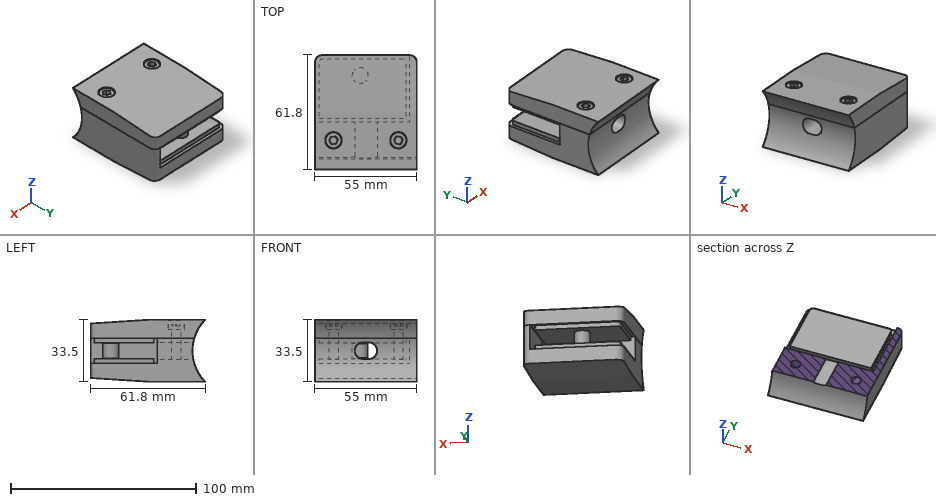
import cadquery as cq
import math

width = 55.0
length = 55.0
height = 33.5
post_radius = 24.15
corner_radius = 4.0
taper_length = 31.0
taper_drop = 2.0

slot_height = 13.5
slot_depth = 36.0
wall_thickness = 4.0

pad_thickness = 2.5
pad_margin = 2.0
pad_corner_radius = 2.0

passage_width = 12.0
passage_height = 9.0

pin_diameter = 8.6
pin_height = 8.0
pin_x = -3.2
pin_from_back = 10.9

screw_spacing = 35.0
screw_y = 9.0
head_diameter = 8.5
head_height = 5.0
head_fillet = 0.5
head_recess = 0.25
shank_diameter = 5.0
shank_length = 16.0
socket_across_flats = 4.0
socket_depth = 3.0
socket_turns = [4.0, -7.0]
counterbore_diameter = 9.0

half_width = width / 2
half_height = height / 2
split_z = slot_height / 2
slot_front_y = length - slot_depth
taper_start_y = length - taper_length
post_axis_y = -post_radius
saddle_tip_y = post_axis_y + math.sqrt(post_radius**2 - half_height**2)
head_top_z = half_height - head_recess
head_seat_z = head_top_z - head_height
shank_end_z = head_seat_z - shank_length
socket_across_corners = socket_across_flats / math.cos(math.pi / 6)
screw_points = [(-screw_spacing / 2, screw_y), (screw_spacing / 2, screw_y)]


def box_between(x_min, x_max, y_min, y_max, z_min, z_max):
    box = cq.Workplane("XY").box(x_max - x_min, y_max - y_min, z_max - z_min, centered=False)
    return box.translate((x_min, y_min, z_min))


def upright_cylinder(diameter, z_min, z_max, points):
    plane = cq.Workplane("XY").workplane(offset=z_min)
    return plane.pushPoints(points).circle(diameter / 2).extrude(z_max - z_min)


def make_envelope():
    """Outer shape of the closed clamp: tapered to the back, hollowed to fit the post."""
    profile = (
        cq.Workplane("YZ")
        .moveTo(saddle_tip_y, half_height)
        .lineTo(taper_start_y, half_height)
        .lineTo(length, half_height - taper_drop)
        .lineTo(length, -half_height + taper_drop)
        .lineTo(taper_start_y, -half_height)
        .lineTo(saddle_tip_y, -half_height)
        .threePointArc((0, 0), (saddle_tip_y, half_height))
        .close()
    )
    envelope = profile.extrude(half_width, both=True)
    return envelope.edges("|Z and >Y").fillet(corner_radius)


def make_screw_clearance():
    counterbores = upright_cylinder(counterbore_diameter, head_seat_z, half_height, screw_points)
    shanks = upright_cylinder(shank_diameter, shank_end_z, head_seat_z, screw_points)
    return counterbores.union(shanks)


def make_cover():
    """Upper jaw: everything above the top face of the slot."""
    upper_half = box_between(-half_width, half_width, saddle_tip_y, length, split_z, half_height)
    return make_envelope().intersect(upper_half).cut(make_screw_clearance())


def make_base():
    """Lower jaw together with the block behind the saddle and the side wall of the slot."""
    lower_half = box_between(-half_width, half_width, saddle_tip_y, length, -half_height, split_z)
    slot = box_between(
        -half_width, half_width - wall_thickness, slot_front_y, length, -split_z, split_z
    )
    passage = (
        cq.Workplane("XZ", origin=(0, saddle_tip_y, 0))
        .slot2D(passage_width, passage_height)
        .extrude(saddle_tip_y - slot_front_y)
    )
    return make_envelope().intersect(lower_half).cut(slot).cut(passage).cut(make_screw_clearance())


def make_pad(z_min):
    pad = box_between(
        -half_width + pad_margin,
        half_width - wall_thickness - pad_margin,
        slot_front_y + pad_margin,
        length - pad_margin,
        z_min,
        z_min + pad_thickness,
    )
    return pad.edges("|Z and >Y").fillet(pad_corner_radius)


def make_pin():
    return upright_cylinder(
        pin_diameter, -pin_height / 2, pin_height / 2, [(pin_x, length - pin_from_back)]
    )


def make_screw(point, socket_turn):
    head = upright_cylinder(head_diameter, head_seat_z, head_top_z, [(0, 0)])
    head = head.faces(">Z").edges().fillet(head_fillet)
    shank = upright_cylinder(shank_diameter, shank_end_z, head_seat_z, [(0, 0)])
    socket = (
        cq.Workplane("XY")
        .workplane(offset=head_top_z - socket_depth)
        .polygon(6, socket_across_corners)
        .extrude(socket_depth)
        .rotate((0, 0, 0), (0, 0, 1), socket_turn)
    )
    return head.union(shank).cut(socket).translate((point[0], point[1], 0))


cover = make_cover()
base = make_base()
pads = [make_pad(z_min) for z_min in (-split_z, split_z - pad_thickness)]
pin = make_pin()
screws = [make_screw(point, turn) for point, turn in zip(screw_points, socket_turns)]

result = cq.Compound.makeCompound(
    [cover.val(), base.val(), pin.val()]
    + [pad.val() for pad in pads]
    + [screw.val() for screw in screws]
)